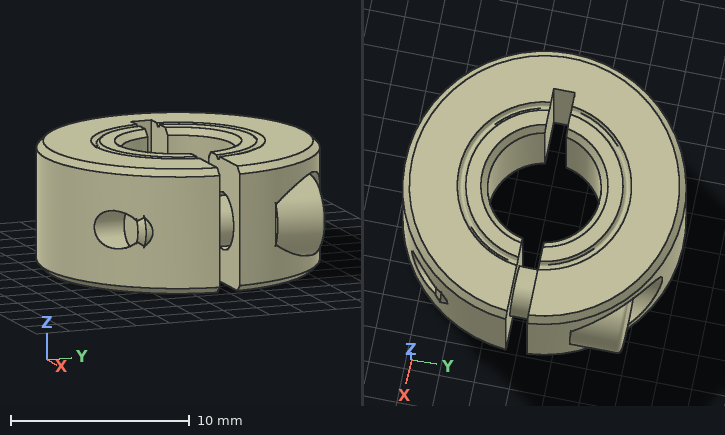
import cadquery as cq
import math

collar_diameter = 15.86
collar_height = 7.14
bore_diameter = 6.35
edge_chamfer = 0.38

groove_centre_radius = 4.63
groove_half_width = 0.24
groove_bottom_radius = 0.13

slot_width = 1.2
slot_closed_end_x = -5.63

screw_x = 5.33
shank_diameter = 2.84
tip_y = -4.92
tip_chamfer = 0.35
head_diameter = 4.65
head_seat_y = 2.98
head_end_y = 5.87
head_fillet = 0.22

tap_diameter = 2.15
clearance_diameter = 3.27

collar_radius = collar_diameter / 2


def cylinder_along_y(diameter, start_y, end_y):
    """Cylinder on the screw axis, running from start_y to end_y."""
    start = cq.Workplane("XZ", origin=(screw_x, start_y, 0))
    return start.circle(diameter / 2).extrude(start_y - end_y)


def make_screw():
    shank = cylinder_along_y(shank_diameter, tip_y, head_seat_y)
    shank = shank.faces("<Y").chamfer(tip_chamfer)
    head = cylinder_along_y(head_diameter, head_seat_y, head_end_y)
    head = head.faces(">Y").edges().fillet(head_fillet)
    return shank.union(head)


def make_groove_cutter():
    """Revolved V whose flanks run tangent into the arc at the bottom."""
    half_chord = groove_bottom_radius * math.sin(math.radians(45))
    flank_depth = groove_half_width - half_chord
    arc_height = groove_bottom_radius - half_chord
    top_z = collar_height / 2
    profile = (
        cq.Workplane("XZ")
        .moveTo(groove_centre_radius - groove_half_width, top_z)
        .lineTo(groove_centre_radius - half_chord, top_z - flank_depth)
        .threePointArc(
            (groove_centre_radius, top_z - flank_depth - arc_height),
            (groove_centre_radius + half_chord, top_z - flank_depth),
        )
        .lineTo(groove_centre_radius + groove_half_width, top_z)
        .close()
    )
    return profile.revolve(360, (0, 0, 0), (0, 1, 0))


def make_ring():
    ring = cq.Workplane("XY").circle(collar_radius).circle(bore_diameter / 2)
    ring = ring.extrude(collar_height / 2, both=True)
    return ring.faces("<Z or >Z").edges().chamfer(edge_chamfer)


def make_slot_cutter():
    slot_length = collar_diameter - slot_closed_end_x
    slot = cq.Workplane("XY").box(slot_length, slot_width, collar_height, centered=(False, True, True))
    return slot.translate((slot_closed_end_x, 0, 0))


def make_collar(screw):
    collar = make_ring().cut(make_groove_cutter()).cut(make_slot_cutter())
    collar = collar.cut(cylinder_along_y(tap_diameter, -collar_radius, 0))
    collar = collar.cut(screw)
    collar = collar.cut(cylinder_along_y(clearance_diameter, 0, head_seat_y))
    return collar.cut(cylinder_along_y(head_diameter, head_seat_y, collar_radius))


clamp_screw = make_screw()
collar = make_collar(clamp_screw)

result = cq.Compound.makeCompound([collar.val(), clamp_screw.val()])